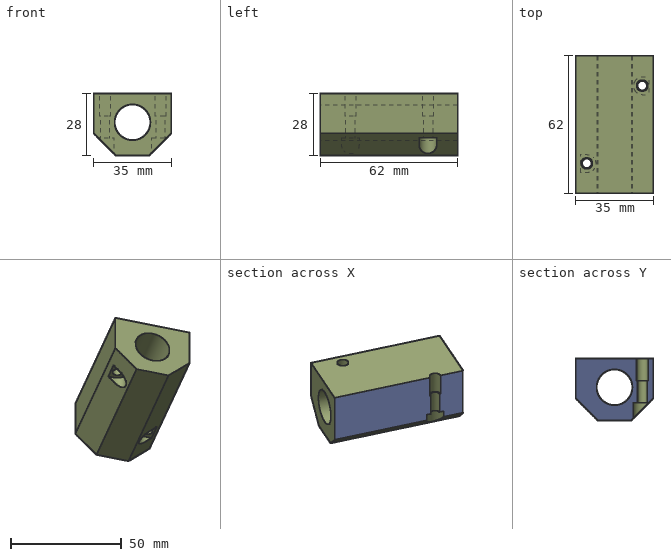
import cadquery as cq

width = 35.0
length = 62.0
height = 28.0
bevel = 10.0

bore_diameter = 16.0
bore_height = 15.0

screw_side_inset = 5.0
screw_spacing = 35.0
screw_diameter = 4.2
screw_mouth_diameter = 5.0
screw_mouth_depth = 10.0
head_diameter = 8.0
head_seat_height = 8.0

half_width = width / 2
screw_x = half_width - screw_side_inset
screw_y = screw_spacing / 2


def make_block():
    """Bevelled profile, centred in X and Y, with its bottom at Z = 0."""
    return (
        cq.Workplane("XZ", origin=(0, length / 2, 0))
        .moveTo(-half_width, height)
        .lineTo(half_width, height)
        .lineTo(half_width, bevel)
        .lineTo(half_width - bevel, 0)
        .lineTo(-half_width + bevel, 0)
        .lineTo(-half_width, bevel)
        .close()
        .extrude(length)
    )


def make_bore():
    return (
        cq.Workplane("XZ", origin=(0, length / 2, bore_height))
        .circle(bore_diameter / 2)
        .extrude(length)
    )


def vertical_cylinder(x, y, diameter, bottom, top):
    return (
        cq.Workplane("XY", origin=(x, y, bottom))
        .circle(diameter / 2)
        .extrude(top - bottom)
    )


def make_head_recess(side):
    """Screw head pocket rising from the bottom and open sideways through the bevel."""
    x = side * screw_x
    y = side * screw_y
    pocket = vertical_cylinder(x, y, head_diameter, 0, head_seat_height)
    opening = (
        cq.Workplane("XY", origin=(x + side * screw_side_inset / 2, y, 0))
        .rect(screw_side_inset, head_diameter)
        .extrude(head_seat_height)
    )
    return pocket.union(opening)


def make_screw_hole(side):
    """Through hole on one side (-1 or 1), wider at the top, with a head recess below."""
    x = side * screw_x
    y = side * screw_y
    through = vertical_cylinder(x, y, screw_diameter, 0, height)
    mouth = vertical_cylinder(x, y, screw_mouth_diameter, height - screw_mouth_depth, height)
    return through.union(mouth).union(make_head_recess(side))


result = make_block().cut(make_bore())
for hole_side in (-1, 1):
    result = result.cut(make_screw_hole(hole_side))